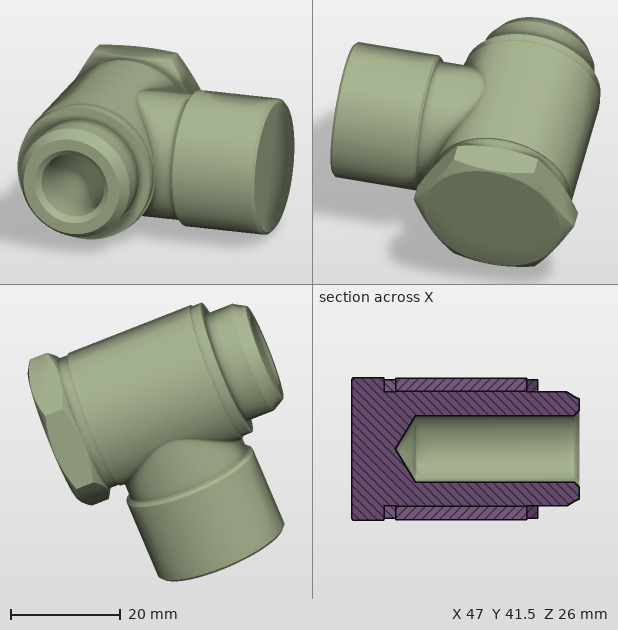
import cadquery as cq
import math


body_diameter = 26.0
body_length = 24.0
neck_diameter = 23.0
collar_diameter = 25.0
collar_start = 16.0
collar_chamfer = 0.5
port_reach = 32.0
neck_fillet = 0.4

washer_diameter = 25.4
washer_thickness = 2.0

shank_diameter = 20.9
shank_stickout = 7.5
tip_chamfer_length = 2.3
chamfer_slope = math.tan(math.radians(30))
head_sides = 6
head_across_flats = 26.0
head_height = 6.0
head_face_diameter = 25.4
bore_diameter = 12.0
bore_mouth_diameter = 14.0
bore_point_angle = 118.0

body_front = -body_length / 2
body_back = body_length / 2
washer_front = body_front - washer_thickness
head_seat = body_back + washer_thickness
head_top = head_seat + head_height
bolt_tip = washer_front - shank_stickout
bore_end = body_back

head_across_corners = head_across_flats / math.cos(math.pi / head_sides)


def cylinder_y(diameter, start, end):
    """Cylinder on the bolt axis between two Y stations."""
    return cq.Workplane("XZ", origin=(0, start, 0)).circle(diameter / 2).extrude(start - end)


def revolve_y(profile):
    """Revolve a closed (radius, y) outline about the bolt axis."""
    return cq.Workplane("XY").polyline(profile).close().revolve(360, (0, 0, 0), (0, 1, 0))


def make_body():
    barrel = cylinder_y(body_diameter, body_front, body_back)
    neck = cq.Workplane("YZ").circle(neck_diameter / 2).extrude(collar_start)
    collar = (
        cq.Workplane("YZ", origin=(collar_start, 0, 0))
        .circle(collar_diameter / 2)
        .extrude(port_reach - collar_start)
        .faces("<X or >X")
        .chamfer(collar_chamfer)
    )
    blank = barrel.union(neck).edges("not (%LINE or %CIRCLE)").fillet(neck_fillet)

    blank = blank.union(collar)
    blank = blank.edges(cq.selectors.RadiusNthSelector(0)).fillet(neck_fillet)

    bolt_hole = cylinder_y(shank_diameter, body_front, body_back)
    return blank.cut(bolt_hole)


def make_washer(start):
    ring = cylinder_y(washer_diameter, start, start + washer_thickness)
    return ring.cut(cylinder_y(shank_diameter, start, start + washer_thickness))


def make_head():
    prism = (
        cq.Workplane("XZ", origin=(0, head_seat, 0))
        .polygon(head_sides, head_across_corners)
        .extrude(-head_height)
    )
    face_radius = head_face_diameter / 2
    corner_radius = head_across_corners / 2
    corner_drop = (corner_radius - face_radius) * chamfer_slope
    envelope = revolve_y([
        (0, head_seat),
        (face_radius, head_seat),
        (corner_radius, head_seat + corner_drop),
        (corner_radius, head_top - corner_drop),
        (face_radius, head_top),
        (0, head_top),
    ])
    return prism.intersect(envelope)


def make_bolt():
    shank_radius = shank_diameter / 2
    shank = revolve_y([
        (0, bolt_tip),
        (shank_radius - tip_chamfer_length * chamfer_slope, bolt_tip),
        (shank_radius, bolt_tip + tip_chamfer_length),
        (shank_radius, head_seat),
        (0, head_seat),
    ])
    bore_radius = bore_diameter / 2
    mouth_radius = bore_mouth_diameter / 2
    point_length = bore_radius / math.tan(math.radians(bore_point_angle / 2))
    bore = revolve_y([
        (0, bolt_tip),
        (mouth_radius, bolt_tip),
        (bore_radius, bolt_tip + mouth_radius - bore_radius),
        (bore_radius, bore_end - point_length),
        (0, bore_end),
    ])
    return make_head().union(shank).cut(bore)


body = make_body()
bolt = make_bolt()
washers = [make_washer(start) for start in (washer_front, body_back)]

result = cq.Compound.makeCompound([body.val(), bolt.val(), *[washer.val() for washer in washers]])